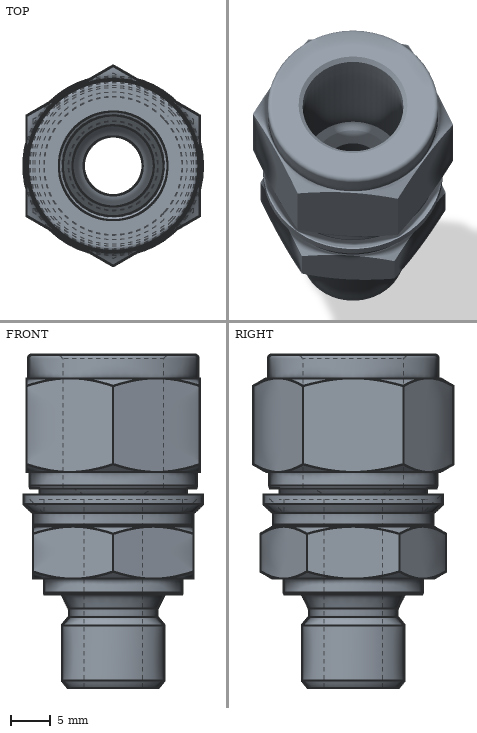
import cadquery as cq
import math

total_height = 42.7
spigot_chamfer = 1.0
spigot_shoulder_z = 8.03
neck_bottom_z = 9.1
neck_top_z = 10.15
lower_collar_z = 12.0
body_hex_bottom_z = 14.0
body_hex_top_z = 20.65
ring_top_z = 22.4
flange_edge_z = 23.55
groove_step_z = 24.15
flange_top_z = 24.8
upper_collar_z = 25.58
nut_bottom_z = 27.65
nut_top_z = 39.65

spigot_diameter = 13.15
spigot_end_diameter = 11.55
neck_diameter = 11.35
lower_collar_diameter = 17.8
ring_diameter = 20.6
flange_diameter = 23.0
flange_rim_width = 0.15
groove_diameter = 18.9
groove_step_diameter = 17.7
upper_collar_diameter = 21.5
cap_diameter = 21.8
cap_round = 0.5

lower_collar_chamfer_height = 0.25
lower_collar_chamfer = 0.1
upper_collar_chamfer_height = 0.4
upper_collar_chamfer = 0.13
ring_chamfer = 0.25

dish_depth = (flange_diameter - groove_step_diameter) / 2 - flange_rim_width

nut_across_corners = 25.65
body_hex_across_flats = 20.6
body_hex_across_corners = body_hex_across_flats / math.cos(math.pi / 6)
hex_chamfer_angle = math.radians(30)

through_diameter = 7.5
seat_cone_diameter = 10.4
seat_cone_angle = math.radians(30)
seat_cone_depth = (seat_cone_diameter - through_diameter) / 2 * math.tan(seat_cone_angle)
socket_diameter = 12.9
socket_depth = 17.1
mouth_diameter = 13.9
mouth_chamfer = (mouth_diameter - socket_diameter) / 2


def revolve_outline(points):
    """Revolve an outline of (radius, height) points, closed along the Z axis."""
    closed = [(0, points[0][1])] + points + [(0, points[-1][1])]
    return cq.Workplane("XZ").polyline(closed).close().revolve(360, (0, 0), (0, 1))


def chamfered_hexagon(across_corners, bottom_z, top_z):
    """Hexagonal prism whose corners are turned off by a cone at each end."""
    height = top_z - bottom_z
    corner_radius = across_corners / 2
    flat_radius = corner_radius * math.cos(math.pi / 6)
    drop = (corner_radius - flat_radius) * math.tan(hex_chamfer_angle)
    prism = (
        cq.Workplane("XY")
        .workplane(offset=bottom_z)
        .polygon(6, across_corners)
        .extrude(height)
        .rotate((0, 0, 0), (0, 0, 1), 30)
    )
    envelope = revolve_outline([
        (flat_radius, bottom_z),
        (corner_radius, bottom_z + drop),
        (corner_radius, top_z - drop),
        (flat_radius, top_z),
    ])
    return prism.intersect(envelope)


def turned_body():
    """Spigot, neck, collars and flange below the nut."""
    spigot_radius = spigot_diameter / 2
    neck_radius = neck_diameter / 2
    lower_radius = lower_collar_diameter / 2
    ring_radius = ring_diameter / 2
    flange_radius = flange_diameter / 2
    dish_radius = flange_radius - flange_rim_width
    step_radius = groove_step_diameter / 2
    groove_radius = groove_diameter / 2
    upper_radius = upper_collar_diameter / 2
    return revolve_outline([
        (spigot_end_diameter / 2, 0),
        (spigot_radius, spigot_chamfer),
        (spigot_radius, spigot_shoulder_z),
        (neck_radius, neck_bottom_z),
        (neck_radius, neck_top_z),
        (spigot_radius, lower_collar_z),
        (lower_radius - lower_collar_chamfer, lower_collar_z),
        (lower_radius, lower_collar_z + lower_collar_chamfer_height),
        (lower_radius, body_hex_top_z),
        (ring_radius - ring_chamfer, body_hex_top_z),
        (ring_radius, body_hex_top_z + ring_chamfer),
        (ring_radius, ring_top_z),
        (flange_radius, flange_edge_z),
        (flange_radius, flange_top_z),
        (dish_radius, flange_top_z),
        (step_radius, flange_top_z - dish_depth),
        (step_radius, groove_step_z),
        (groove_radius, groove_step_z),
        (groove_radius, upper_collar_z),
        (upper_radius - upper_collar_chamfer, upper_collar_z),
        (upper_radius, upper_collar_z + upper_collar_chamfer_height),
        (upper_radius, nut_top_z),
    ])


def nut_cap():
    """Round cap above the nut hexagon with a rounded rim."""
    return (
        cq.Workplane("XY")
        .workplane(offset=nut_top_z)
        .circle(cap_diameter / 2)
        .extrude(total_height - nut_top_z)
        .faces(">Z")
        .edges()
        .fillet(cap_round)
    )


def stepped_bore():
    """Through hole, conical seat, tube socket and chamfered mouth."""
    through_radius = through_diameter / 2
    socket_radius = socket_diameter / 2
    socket_floor_z = total_height - socket_depth
    return revolve_outline([
        (through_radius, 0),
        (through_radius, socket_floor_z - seat_cone_depth),
        (seat_cone_diameter / 2, socket_floor_z),
        (socket_radius, socket_floor_z),
        (socket_radius, total_height - mouth_chamfer),
        (mouth_diameter / 2, total_height),
    ])


nut_hexagon = chamfered_hexagon(nut_across_corners, nut_bottom_z, nut_top_z)
body_hexagon = chamfered_hexagon(body_hex_across_corners, body_hex_bottom_z, body_hex_top_z)

result = turned_body().union(body_hexagon).union(nut_hexagon).union(nut_cap()).cut(stepped_bore())